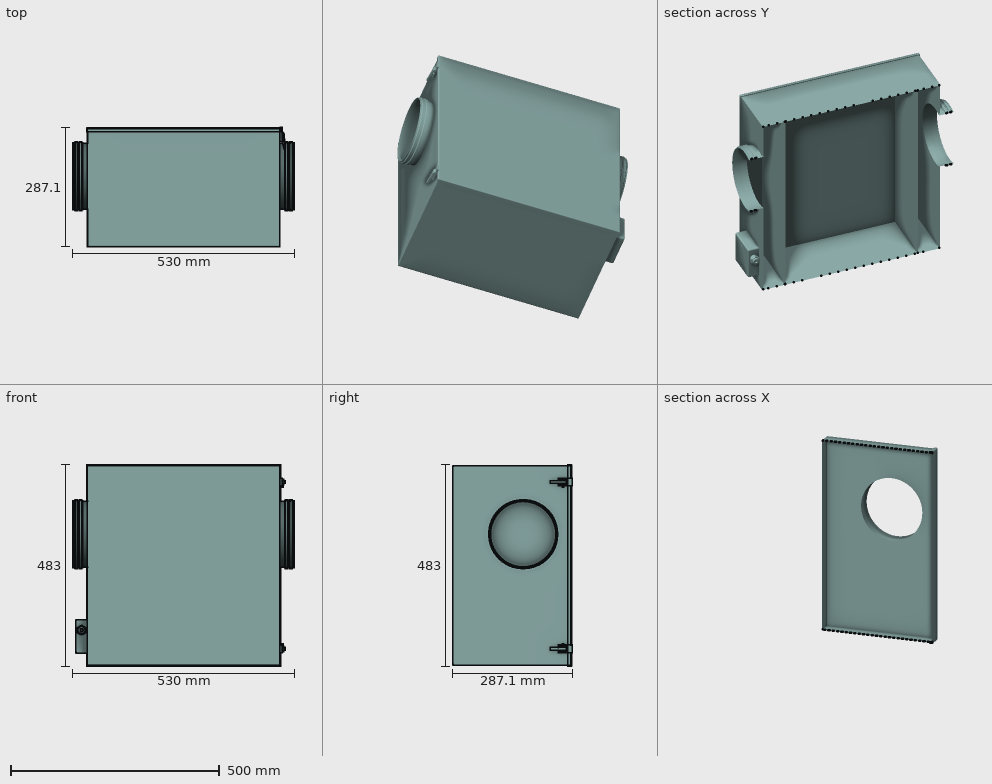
import cadquery as cq


LID_WIDTH = 465.0
LID_HEIGHT = 483.0
LID_DEPTH = 9.0
LID_SHEET = 2.0
LID_EDGE_RADIUS = 2.5

CASE_DEPTH = 285.0
HOUSING_WIDTH = LID_WIDTH - 2 * LID_SHEET
HOUSING_HEIGHT = LID_HEIGHT - 2 * LID_SHEET
HOUSING_SHEET = 3.0
BEND_RADIUS = 4.0
PLENUM_LENGTH = 57.0

SPIGOT_SPAN = 530.0
SPIGOT_RADIUS = 79.5
SPIGOT_WALL = 1.0
SPIGOT_Y = -116.0
SPIGOT_Z = 75.0

SEAL_LENGTH = 23.0
SEAL_BAND = 0.5
LIP_STARTS = (3.5, 14.0)
LIP_LENGTH = 7.0
LIP_HEIGHT = 3.0
LIP_RAMP = 1.5

BOX_SIZE = 81.0
BOX_DEPTH = 28.0
BOX_Y = -79.5
BOX_Z = -170.0
BOX_RADIUS = 3.5
SCREW_HOLE_DIAMETER = 6.0
SCREW_HOLE_DEPTH = 2.0
SCREW_HOLE_SPACING = 60.0

GLAND_Z = -155.0
COLLAR_DIAMETER = 18.0
COLLAR_LENGTH = 4.0
HEX_ACROSS_CORNERS = 23.0
HEX_LENGTH = 10.5
DOME_DIAMETER = 18.0
DOME_LENGTH = 4.0
DOME_RADIUS = 3.0
CABLE_HOLE_DIAMETER = 7.0

LATCH_Z = 200.0
HOOK_RISE = 2.11
HOOK_OVERLAP = 1.0
BASE_WIDTH = 19.0
BASE_THICKNESS = 6.0
BASE_END_Y = -32.0
KNUCKLE_WIDTH = 14.0
KNUCKLE_THICKNESS = 10.0
KNUCKLE_TAPER = 4.0
LEVER_WIDTH = 7.0
LEVER_REACH = 13.5
LEVER_TIP = 3.0
LEVER_END_Y = -51.0
PIN_DIAMETER = 4.0
PIN_END = 13.0

WALL_X = HOUSING_WIDTH / 2
LID_X = LID_WIDTH / 2


def block(x_range, y_range, z_range):
    """Axis-aligned block between the given limits."""
    return (
        cq.Workplane("XY")
        .box(
            x_range[1] - x_range[0],
            y_range[1] - y_range[0],
            z_range[1] - z_range[0],
            centered=False,
        )
        .translate((x_range[0], y_range[0], z_range[0]))
    )


def centred_block(width, height, y_front, y_back):
    """Block centred on X and Z between two depths."""
    return block((-width / 2, width / 2), (y_front, y_back), (-height / 2, height / 2))


def make_housing():
    shell = centred_block(HOUSING_WIDTH, HOUSING_HEIGHT, -CASE_DEPTH, -LID_SHEET)
    shell = shell.edges("|X and <Y").fillet(BEND_RADIUS)

    cavity = centred_block(
        HOUSING_WIDTH - 2 * HOUSING_SHEET,
        HOUSING_HEIGHT - 2 * HOUSING_SHEET,
        HOUSING_SHEET - CASE_DEPTH,
        -LID_SHEET,
    )
    cavity = cavity.edges("|X and <Y").fillet(BEND_RADIUS - HOUSING_SHEET)
    shell = shell.cut(cavity)

    partition_x = WALL_X - PLENUM_LENGTH
    partition = block(
        (partition_x - HOUSING_SHEET, partition_x),
        (-CASE_DEPTH, -LID_SHEET),
        (-HOUSING_HEIGHT / 2, HOUSING_HEIGHT / 2),
    ).intersect(cavity)
    shell = shell.union(partition).union(partition.mirror("YZ"))

    duct_holes = (
        cq.Workplane("YZ", origin=(-WALL_X, SPIGOT_Y, SPIGOT_Z))
        .circle(SPIGOT_RADIUS)
        .extrude(HOUSING_SHEET)
    )
    return shell.cut(duct_holes).cut(duct_holes.mirror("YZ"))


def make_lid():
    lid = centred_block(LID_WIDTH, LID_HEIGHT, -LID_DEPTH, 0)
    lid = lid.faces(">Y").edges().fillet(LID_EDGE_RADIUS)
    return lid.cut(centred_block(HOUSING_WIDTH, HOUSING_HEIGHT, -LID_DEPTH, -LID_SHEET))


def turn_on_duct_axis(outline):
    """Turn a closed outline of (x, radius) points about the duct axis."""
    return (
        cq.Workplane("XY")
        .polyline(outline)
        .close()
        .revolve(360, (0, 0, 0), (1, 0, 0))
        .translate((0, SPIGOT_Y, SPIGOT_Z))
    )


def make_left_spigot():
    mouth_x = -SPIGOT_SPAN / 2
    inner_end_x = HOUSING_SHEET - WALL_X
    inner_radius = SPIGOT_RADIUS - SPIGOT_WALL
    return turn_on_duct_axis(
        [
            (mouth_x, inner_radius),
            (inner_end_x, inner_radius),
            (inner_end_x, SPIGOT_RADIUS),
            (mouth_x, SPIGOT_RADIUS),
        ]
    )


def make_left_seal():
    """Thin band with two lips, each ramped on the side facing the spigot mouth."""
    mouth_x = -SPIGOT_SPAN / 2
    end_x = mouth_x + SEAL_LENGTH
    band_radius = SPIGOT_RADIUS + SEAL_BAND
    lip_radius = SPIGOT_RADIUS + LIP_HEIGHT

    outline = [(mouth_x, SPIGOT_RADIUS), (mouth_x, band_radius)]
    for lip_start in LIP_STARTS:
        lip_x = mouth_x + lip_start
        outline += [
            (lip_x, band_radius),
            (lip_x + LIP_RAMP, lip_radius),
            (lip_x + LIP_LENGTH, lip_radius),
            (lip_x + LIP_LENGTH, band_radius),
        ]
    outline += [(end_x, band_radius), (end_x, SPIGOT_RADIUS)]
    return turn_on_duct_axis(outline)


def make_junction_box():
    box = block(
        (-WALL_X - BOX_DEPTH, -WALL_X),
        (BOX_Y - BOX_SIZE / 2, BOX_Y + BOX_SIZE / 2),
        (BOX_Z - BOX_SIZE / 2, BOX_Z + BOX_SIZE / 2),
    )
    box = box.edges("|X or <X").fillet(BOX_RADIUS)
    screw_holes = (
        cq.Workplane("YZ", origin=(-WALL_X - BOX_DEPTH, BOX_Y, BOX_Z))
        .rarray(1, SCREW_HOLE_SPACING, 1, 2)
        .circle(SCREW_HOLE_DIAMETER / 2)
        .extrude(SCREW_HOLE_DEPTH)
    )
    return box.cut(screw_holes)


def make_gland():
    box_front_y = BOX_Y - BOX_SIZE / 2
    gland_x = -WALL_X - BOX_DEPTH / 2

    def section(offset):
        """Sketch plane facing -Y at a distance in front of the junction box."""
        return cq.Workplane("XZ", origin=(gland_x, box_front_y - offset, GLAND_Z))

    collar = section(0).circle(COLLAR_DIAMETER / 2).extrude(COLLAR_LENGTH)
    nut = (
        section(COLLAR_LENGTH)
        .transformed(rotate=(0, 0, 90))
        .polygon(6, HEX_ACROSS_CORNERS)
        .extrude(HEX_LENGTH)
    )
    dome = (
        section(COLLAR_LENGTH + HEX_LENGTH)
        .circle(DOME_DIAMETER / 2)
        .extrude(DOME_LENGTH)
        .faces("<Y")
        .edges()
        .fillet(DOME_RADIUS)
    )
    cable_hole = (
        section(COLLAR_LENGTH + HEX_LENGTH)
        .circle(CABLE_HOLE_DIAMETER / 2)
        .extrude(DOME_LENGTH)
    )
    return collar.union(nut).union(dome.cut(cable_hole))


def make_upper_latch():
    def plate(profile, width):
        """Plate of the given width across Z from an (x, y) outline."""
        return cq.Workplane("XY").polyline(profile).close().extrude(width / 2, both=True)

    base_x = WALL_X + BASE_THICKNESS
    knuckle_x = WALL_X + KNUCKLE_THICKNESS
    lever_x = WALL_X + LEVER_REACH

    base = plate(
        [
            (WALL_X, BASE_END_Y),
            (base_x, BASE_END_Y),
            (base_x, HOOK_RISE),
            (LID_X - HOOK_OVERLAP, HOOK_RISE),
            (LID_X - HOOK_OVERLAP, 0),
            (LID_X, 0),
            (LID_X, -LID_DEPTH),
            (WALL_X, -LID_DEPTH),
        ],
        BASE_WIDTH,
    )
    knuckle = plate(
        [
            (base_x, BASE_END_Y),
            (knuckle_x, BASE_END_Y),
            (knuckle_x, -LID_DEPTH - KNUCKLE_TAPER),
            (base_x, -LID_DEPTH),
        ],
        KNUCKLE_WIDTH,
    )
    lever = plate(
        [
            (base_x, BASE_END_Y),
            (base_x, -LID_DEPTH),
            (knuckle_x, -LID_DEPTH - KNUCKLE_TAPER),
            (lever_x, LEVER_END_Y),
            (lever_x - LEVER_TIP, LEVER_END_Y),
        ],
        LEVER_WIDTH,
    )
    pin_centre = (base_x, (BASE_END_Y - LID_DEPTH) / 2)
    pin = cq.Workplane("XY").center(*pin_centre).circle(PIN_DIAMETER / 2).extrude(-PIN_END)
    return base.union(knuckle).union(lever).union(pin).translate((0, 0, LATCH_Z))


housing = make_housing()
lid = make_lid()
left_spigot = make_left_spigot()
left_seal = make_left_seal()
spigots = [left_spigot, left_spigot.mirror("YZ")]
seals = [left_seal, left_seal.mirror("YZ")]
junction_box = make_junction_box()
gland = make_gland()
upper_latch = make_upper_latch()
latches = [upper_latch, upper_latch.mirror("XY")]

bodies = [housing, lid, *spigots, *seals, junction_box, gland, *latches]
result = cq.Compound.makeCompound([body.solids().val() for body in bodies])